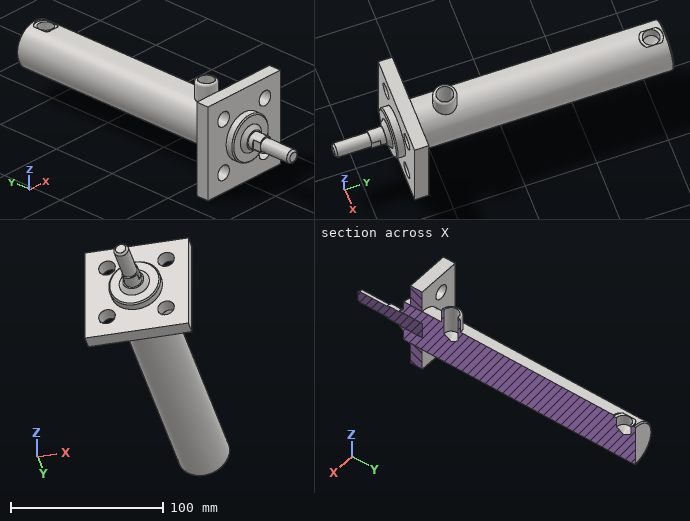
import cadquery as cq
import math


flange_side = 70.0
flange_thickness = 10.0
bolt_hole_diameter = 11.1
bolt_spacing = 40.0

rod_diameter = 12.0
stud_diameter = 10.0
stud_length = 25.0
stud_tip_chamfer = 1.5
wrench_flat_length = 6.0
wrench_flat_width = stud_diameter
rod_tip_y = -44.0
shoulder_y = rod_tip_y + stud_length
rod_end_y = flange_thickness

overall_length = 232
barrel_diameter = 35.0
barrel_chamfer = 1.0
barrel_front_y = -6.0
barrel_rear_y = rod_tip_y + overall_length
wiper_base_diameter = 20.5
wiper_tip_diameter = 14.2
wiper_length = 3.0
wiper_tip_y = barrel_front_y - wiper_length

port_bore_diameter = 11.5
port_floor_z = 8.1
drill_point_angle = 118
port_diameter = 16.0
port_top_z = 29.5
port_rim_radius = 1.9
rear_port_from_end = 10.0
front_port_y = 33.9
rear_port_y = barrel_rear_y - rear_port_from_end
spotface_depth = 1.07
spotface_z = barrel_diameter / 2 - spotface_depth


def cylinder_along_y(diameter, start_y, end_y):
    """Solid cylinder on the Y axis between two Y positions."""
    plane = cq.Workplane("XZ", origin=(0, start_y, 0))
    return plane.circle(diameter / 2).extrude(start_y - end_y)


def cylinder_along_z(diameter, y, bottom_z, top_z):
    """Solid vertical cylinder over the centreline at the given Y."""
    plane = cq.Workplane("XY", origin=(0, y, bottom_z))
    return plane.circle(diameter / 2).extrude(top_z - bottom_z)


def port_bore(y):
    """Blind drilled hole with a conical floor, open at the top."""
    radius = port_bore_diameter / 2
    point_depth = radius / math.tan(math.radians(drill_point_angle / 2))
    profile = (
        cq.Workplane("XZ", origin=(0, y, 0))
        .moveTo(0, port_floor_z - point_depth)
        .lineTo(radius, port_floor_z)
        .lineTo(radius, port_top_z)
        .lineTo(0, port_top_z)
        .close()
    )
    return profile.revolve(360, (0, 0, 0), (0, 1, 0))


def wiper_lip():
    """Truncated cone around the rod on the front face of the barrel."""
    profile = (
        cq.Workplane("XY")
        .moveTo(0, barrel_front_y)
        .lineTo(wiper_base_diameter / 2, barrel_front_y)
        .lineTo(wiper_tip_diameter / 2, wiper_tip_y)
        .lineTo(0, wiper_tip_y)
        .close()
    )
    return profile.revolve(360, (0, 0, 0), (0, 1, 0))


def make_barrel():
    """Tube with its wiper lip, raised front port and spotfaced rear port."""
    barrel = cylinder_along_y(barrel_diameter, barrel_front_y, barrel_rear_y)
    barrel = barrel.faces("<Y or >Y").edges().chamfer(barrel_chamfer)
    barrel = barrel.union(wiper_lip())

    front_port = cylinder_along_z(port_diameter, front_port_y, 0, port_top_z)
    front_port = front_port.faces(">Z").edges().fillet(port_rim_radius)
    barrel = barrel.union(front_port)

    barrel = barrel.cut(cylinder_along_z(port_diameter, rear_port_y, spotface_z, port_top_z))
    for port_y in (front_port_y, rear_port_y):
        barrel = barrel.cut(port_bore(port_y))

    rod_seat = cylinder_along_y(rod_diameter, wiper_tip_y, rod_end_y)
    return barrel.cut(rod_seat)


def make_flange():
    """Square plate around the barrel with four bolt holes."""
    plate = cq.Workplane("XZ").rect(flange_side, flange_side).extrude(-flange_thickness)
    bolt_holes = (
        cq.Workplane("XZ")
        .rect(bolt_spacing, bolt_spacing, forConstruction=True)
        .vertices()
        .circle(bolt_hole_diameter / 2)
        .extrude(-flange_thickness)
    )
    barrel_hole = cylinder_along_y(barrel_diameter, 0, flange_thickness)
    return plate.cut(bolt_holes).cut(barrel_hole)


def make_rod():
    """Rod with a reduced end stud and two wrench flats behind its shoulder."""
    stud = cylinder_along_y(stud_diameter, rod_tip_y, shoulder_y)
    stud = stud.faces("<Y").edges().chamfer(stud_tip_chamfer)
    rod = cylinder_along_y(rod_diameter, shoulder_y, rod_end_y)

    flat_zone = cq.Workplane("XZ", origin=(0, shoulder_y, 0))
    outside = flat_zone.rect(rod_diameter, rod_diameter).extrude(-wrench_flat_length)
    between_flats = flat_zone.rect(wrench_flat_width, rod_diameter).extrude(-wrench_flat_length)
    return rod.cut(outside.cut(between_flats)).union(stud)


barrel = make_barrel()
flange = make_flange()
rod = make_rod()

result = cq.Compound.makeCompound([barrel.val(), flange.val(), rod.val()])